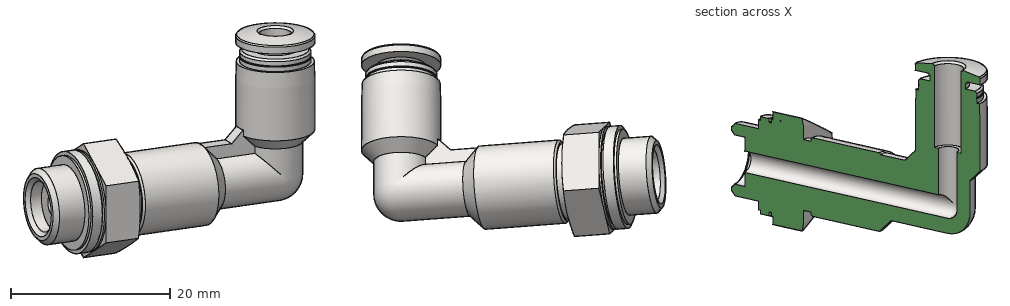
import cadquery as cq
import math


LENGTH = 38.1
INLET_DIA = 10.0
STUD_END = LENGTH - INLET_DIA / 2

ELBOW_DIA = 6.95
BORE_DIA = 2.8

HEX_FLATS = 13.0
HEX_CORNERS = HEX_FLATS / math.cos(math.radians(30))
HEX_START = 22.02
HEX_END = 26.8
HEX_BEVEL = 0.23
HEX_FACE_DIA = 13.0
FLANGE_END = 27.0

BARREL_DIA = 10.5
BARREL_START = 10.45
BARREL_END = 20.95
BARREL_CHAMFER = 0.25
NECK_DIA = 9.5
SHOULDER_DIA = 12.0
RING_DIA = HEX_FLATS
RING_START = 27.3
RING_END = 28.65
SHOULDER_END = 28.95
THREAD_DIA = 9.7
THREAD_CHAMFER = 0.6

SOCKET_DIA = 6.48
SOCKET_MOUTH_DIA = 7.5
SOCKET_DEPTH = 2.02
SOCKET_CHAMFER = (SOCKET_MOUTH_DIA - SOCKET_DIA) / 2

INLET_START = 5.8
TAPER_START = 12.7
TAPER_TOP_DIA = 9.83
COLLAR_START = 14.75
COLLAR_DIA = 9.0
COLLAR_TOP = 16.3
COLLAR_CHAMFER = 0.25
GROOVE_DEPTH = 0.08
GROOVE_START = 15.3
GROOVE_END = 15.45
STEM_DIA = 5.5
BUTTON_START = 17.22
STEM_FLARE = 0.25
BUTTON_RIM = 18.1
BUTTON_SHOULDER = 18.3
BUTTON_FACE_DIA = 9.7
BUTTON_TOP = 18.7
BUTTON_TOP_DIA = 4.57

TUBE_DIA = 4.0
TUBE_FLOOR = 7.62
TUBE_CHAMFER = (BUTTON_TOP_DIA - TUBE_DIA) / 2

RIB_WIDTH = 1.95
RIB_TOP = 5.03
RIB_SLOPE_START = 6.55


def turned(profile):
    """Revolve (diameter, height) pairs about Z, closing the outline on the axis."""
    points = [(diameter / 2, height) for diameter, height in profile]
    points = [(0, profile[0][1])] + points + [(0, profile[-1][1])]
    return cq.Workplane("XZ").polyline(points).close().revolve(360, (0, 0), (0, 1))


def along_stud(body):
    """Swing a body built on +Z round to -Y."""
    return body.rotate((0, 0, 0), (1, 0, 0), 90)


def stud():
    cone_start = BARREL_START - (BARREL_DIA - ELBOW_DIA) / 2
    return along_stud(turned([
        (ELBOW_DIA, 0),
        (ELBOW_DIA, cone_start),
        (BARREL_DIA, BARREL_START),
        (BARREL_DIA, BARREL_END - BARREL_CHAMFER),
        (BARREL_DIA - 2 * BARREL_CHAMFER, BARREL_END),
        (NECK_DIA, BARREL_END),
        (NECK_DIA, HEX_START),
        (HEX_FLATS, HEX_START),
        (HEX_FLATS, FLANGE_END),
        (SHOULDER_DIA, FLANGE_END),
        (SHOULDER_DIA, RING_START),
        (RING_DIA, RING_START),
        (RING_DIA, RING_END),
        (SHOULDER_DIA, RING_END),
        (SHOULDER_DIA, SHOULDER_END),
        (THREAD_DIA, SHOULDER_END),
        (THREAD_DIA, STUD_END - THREAD_CHAMFER),
        (THREAD_DIA - 2 * THREAD_CHAMFER, STUD_END),
    ]))


def hexagon():
    prism = (
        cq.Workplane("XY")
        .workplane(offset=HEX_START)
        .polygon(6, HEX_CORNERS)
        .extrude(HEX_END - HEX_START)
        .rotate((0, 0, 0), (0, 0, 1), 90)
    )
    bevel = turned([
        (HEX_FACE_DIA, HEX_START),
        (HEX_CORNERS, HEX_START + HEX_BEVEL),
        (HEX_CORNERS, HEX_END),
    ])
    return along_stud(prism.intersect(bevel))


def inlet():
    cone_start = INLET_START - (INLET_DIA - ELBOW_DIA) / 2
    groove_dia = COLLAR_DIA - 2 * GROOVE_DEPTH
    return turned([
        (ELBOW_DIA, 0),
        (ELBOW_DIA, cone_start),
        (INLET_DIA, INLET_START),
        (INLET_DIA, TAPER_START),
        (TAPER_TOP_DIA, COLLAR_START),
        (COLLAR_DIA, COLLAR_START),
        (COLLAR_DIA, GROOVE_START),
        (groove_dia, GROOVE_START),
        (groove_dia, GROOVE_END),
        (COLLAR_DIA, GROOVE_END),
        (COLLAR_DIA, COLLAR_TOP - COLLAR_CHAMFER),
        (COLLAR_DIA - 2 * COLLAR_CHAMFER, COLLAR_TOP),
        (STEM_DIA, COLLAR_TOP),
        (STEM_DIA, BUTTON_START - STEM_FLARE),
        (STEM_DIA + 2 * STEM_FLARE, BUTTON_START),
        (INLET_DIA, BUTTON_START),
        (INLET_DIA, BUTTON_RIM),
        (BUTTON_FACE_DIA, BUTTON_SHOULDER),
        (BUTTON_TOP_DIA, BUTTON_TOP),
    ])


def rib():
    slope_end = INLET_DIA / 2
    slope_top = RIB_TOP + RIB_SLOPE_START - slope_end
    return (
        cq.Workplane("YZ")
        .moveTo(0, 0)
        .lineTo(-BARREL_START, 0)
        .lineTo(-BARREL_START, RIB_TOP)
        .lineTo(-RIB_SLOPE_START, RIB_TOP)
        .lineTo(-slope_end, slope_top)
        .lineTo(0, slope_top)
        .close()
        .extrude(RIB_WIDTH / 2, both=True)
    )


def stud_bore():
    socket_floor = STUD_END - SOCKET_DEPTH
    return along_stud(turned([
        (BORE_DIA, 0),
        (BORE_DIA, socket_floor),
        (SOCKET_DIA, socket_floor),
        (SOCKET_DIA, STUD_END - SOCKET_CHAMFER),
        (SOCKET_MOUTH_DIA, STUD_END),
    ]))


def inlet_bore():
    return turned([
        (BORE_DIA, 0),
        (BORE_DIA, TUBE_FLOOR),
        (TUBE_DIA, TUBE_FLOOR),
        (TUBE_DIA, BUTTON_TOP - TUBE_CHAMFER),
        (BUTTON_TOP_DIA, BUTTON_TOP),
    ])


def corner_ball(diameter):
    return cq.Workplane("XY").sphere(diameter / 2)


outside = inlet().union(stud()).union(corner_ball(ELBOW_DIA)).union(rib()).union(hexagon())
passage = inlet_bore().union(stud_bore()).union(corner_ball(BORE_DIA))
result = outside.cut(passage)